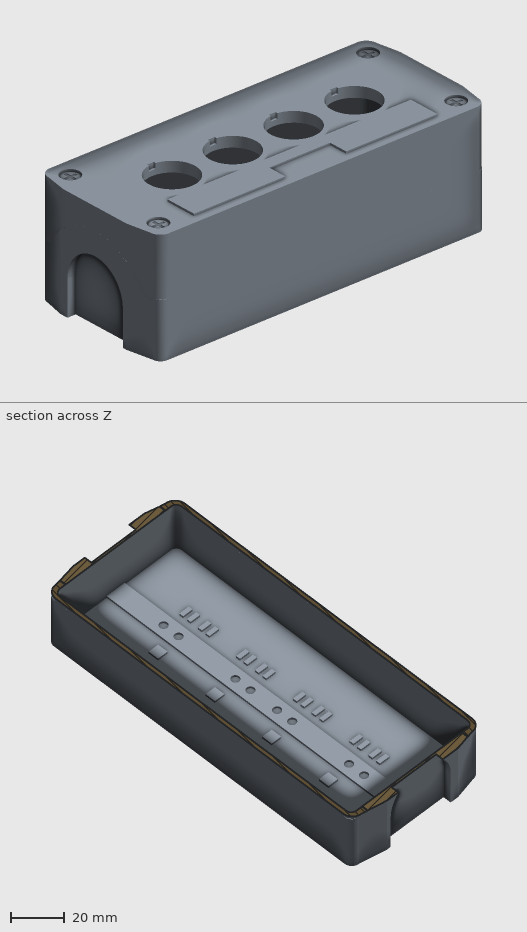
import cadquery as cq
import math


LENGTH = 166.0
WIDTH = 67.9
COVER_TOP = 53.5
SPLIT_HEIGHT = 26.0
HALF_LENGTH = LENGTH / 2
HALF_WIDTH = WIDTH / 2

COVER_CORNER_RADIUS = 5.0
COVER_SHOULDER_Y = 81.0
COVER_FLAT_X = 18.0
COVER_FLAT_BLEND = 12.5
BASE_SHOULDER_Y = 80.7
BASE_LEFT_RADIUS = 4.3
BASE_RIGHT_RADIUS = 3.8
BASE_LEFT_FLAT_X = 19.8
BASE_RIGHT_FLAT_X = 17.8

WALL = 2.0
CAVITY_HALF_WIDTH = HALF_WIDTH - WALL
CAVITY_HALF_LENGTH = 78.4
CAVITY_CORNER_RADIUS = 2.8
FLOOR_TOP = 3.0
COVER_PLATE = 5.0
CAVITY_TOP = COVER_TOP - COVER_PLATE

ARCH_RADIUS = 30.0
ARCH_TOP = 43.0
ARCH_FOOT_RADIUS = 2.5
POCKET_HALF_WIDTH = 15.8
POCKET_TOP = 32.4
POCKET_DEPTH = 3.5
CHANNEL_DEPTH = 0.5

HOLE_COUNT = 4
HOLE_PITCH = 30.0
HOLE_RADIUS = 11.3
KEY_WIDTH = 3.3
KEY_REACH = 12.3
KEY_DEPTH = COVER_PLATE / 2
HOLE_YS = [(i - (HOLE_COUNT - 1) / 2) * HOLE_PITCH for i in range(HOLE_COUNT)]

RIB_HEIGHT = 1.0
RIB_TOP = FLOOR_TOP + RIB_HEIGHT
RAIL_WIDTH = 9.5
RAIL_HOLE_DIAMETER = 3.8
RAIL_HOLE_OFFSET = 8.0
STOP_X = 8.3
STOP_LENGTH = 5.0
STOP_WIDTH = 5.0
TOOTH_WIDTH = 2.0
TOOTH_OFFSETS = (-7.0, -3.0, 3.0, 7.0)

SCREW_X = 25.0
SCREW_Y = 73.5
SCREW_RECESS_RADIUS = 4.5
SCREW_RECESS_DEPTH = 1.2
SCREW_HEAD_RADIUS = 3.7
SCREW_HEAD_HEIGHT = 0.3
CROSS_LENGTH = 6.0
CROSS_WIDTH = 1.5
CROSS_DEPTH = 0.3

LABEL_THICKNESS = 1.0
LEGEND_LEFT = 14.8
LEGEND_RIGHT = 29.9
LEGEND_NOTCH_X = 20.8
LEGEND_HALF_LENGTH = 60.1
LEGEND_NOTCH_HALF_LENGTH = HOLE_PITCH / 2
LABEL_LENGTH = 27.5
LABEL_WIDTH = 5.6


def box(x0, x1, y0, y1, z0, z1):
    """Axis-aligned block between two opposite corners."""
    return cq.Workplane("XY").box(x1 - x0, y1 - y0, z1 - z0, centered=False).translate((x0, y0, z0))


def shell_outline(shoulder_y, left_radius, right_radius, left_flat, right_flat):
    """Closed outline in XY with the same shape at both ends."""
    right_shoulder = HALF_WIDTH - right_radius
    left_shoulder = HALF_WIDTH - left_radius
    return (
        cq.Workplane("XY")
        .moveTo(-left_flat, -HALF_LENGTH)
        .lineTo(right_flat, -HALF_LENGTH)
        .lineTo(right_shoulder, -shoulder_y)
        .radiusArc((HALF_WIDTH, right_radius - shoulder_y), -right_radius)
        .lineTo(HALF_WIDTH, shoulder_y - right_radius)
        .radiusArc((right_shoulder, shoulder_y), -right_radius)
        .lineTo(right_flat, HALF_LENGTH)
        .lineTo(-left_flat, HALF_LENGTH)
        .lineTo(-left_shoulder, shoulder_y)
        .radiusArc((-HALF_WIDTH, shoulder_y - left_radius), -left_radius)
        .lineTo(-HALF_WIDTH, left_radius - shoulder_y)
        .radiusArc((-left_shoulder, -shoulder_y), -left_radius)
        .close()
    )


def below_split():
    """Everything under the joint: level at the sides, rising to an arch in the middle."""
    centre_z = ARCH_TOP - ARCH_RADIUS
    fillet_z = SPLIT_HEIGHT + ARCH_FOOT_RADIUS
    reach = ARCH_RADIUS + ARCH_FOOT_RADIUS
    foot_x = math.sqrt(reach**2 - (fillet_z - centre_z) ** 2)
    tangent_x = foot_x * ARCH_RADIUS / reach
    tangent_z = centre_z + (fillet_z - centre_z) * ARCH_RADIUS / reach
    return (
        cq.Workplane("XZ")
        .moveTo(-HALF_WIDTH, 0)
        .lineTo(HALF_WIDTH, 0)
        .lineTo(HALF_WIDTH, SPLIT_HEIGHT)
        .lineTo(foot_x, SPLIT_HEIGHT)
        .radiusArc((tangent_x, tangent_z), ARCH_FOOT_RADIUS)
        .threePointArc((0, ARCH_TOP), (-tangent_x, tangent_z))
        .radiusArc((-foot_x, SPLIT_HEIGHT), ARCH_FOOT_RADIUS)
        .lineTo(-HALF_WIDTH, SPLIT_HEIGHT)
        .close()
        .extrude(HALF_LENGTH, both=True)
    )


def cavity():
    """Inside space shared by base and cover."""
    return (
        cq.Workplane("XY", origin=(0, 0, FLOOR_TOP))
        .rect(2 * CAVITY_HALF_WIDTH, 2 * CAVITY_HALF_LENGTH)
        .extrude(CAVITY_TOP - FLOOR_TOP)
        .edges("|Z")
        .fillet(CAVITY_CORNER_RADIUS)
    )


def end_pockets():
    """Round-topped pocket in the outer face of each end."""
    spring_z = POCKET_TOP - POCKET_HALF_WIDTH
    arch = (
        cq.Workplane("XZ")
        .moveTo(-POCKET_HALF_WIDTH, 0)
        .lineTo(POCKET_HALF_WIDTH, 0)
        .lineTo(POCKET_HALF_WIDTH, spring_z)
        .threePointArc((0, POCKET_TOP), (-POCKET_HALF_WIDTH, spring_z))
        .close()
        .extrude(HALF_LENGTH, both=True)
    )
    back = HALF_LENGTH - POCKET_DEPTH
    return arch.cut(box(-HALF_WIDTH, HALF_WIDTH, -back, back, 0, COVER_TOP))


def floor_rail():
    """Lengthwise rail with two round holes below each button; the second hole alternates sides."""
    rail = box(
        -RAIL_WIDTH / 2, RAIL_WIDTH / 2, -CAVITY_HALF_LENGTH, CAVITY_HALF_LENGTH, FLOOR_TOP, RIB_TOP
    )
    for index, y in enumerate(HOLE_YS):
        side = 1 if index % 2 else -1
        holes = (
            cq.Workplane("XY", origin=(0, y, FLOOR_TOP))
            .pushPoints([(0, 0), (0, side * RAIL_HOLE_OFFSET)])
            .circle(RAIL_HOLE_DIAMETER / 2)
            .extrude(RIB_HEIGHT)
        )
        rail = rail.cut(holes)
    return rail


def floor_blocks(y):
    """Teeth on the left and a stop block on the right below the button at y."""
    far_x = STOP_X + STOP_LENGTH
    blocks = [box(STOP_X, far_x, y - STOP_WIDTH / 2, y + STOP_WIDTH / 2, FLOOR_TOP, RIB_TOP)]
    for offset in TOOTH_OFFSETS:
        front = y + offset - TOOTH_WIDTH / 2
        blocks.append(box(-far_x, -STOP_X, front, front + TOOTH_WIDTH, FLOOR_TOP, RIB_TOP))
    return blocks


def make_base():
    outline = shell_outline(
        BASE_SHOULDER_Y, BASE_LEFT_RADIUS, BASE_RIGHT_RADIUS, BASE_LEFT_FLAT_X, BASE_RIGHT_FLAT_X
    )
    body = outline.extrude(COVER_TOP).intersect(below_split()).cut(cavity())
    body = body.cut(end_pockets())
    channel = box(
        -POCKET_HALF_WIDTH, POCKET_HALF_WIDTH, -HALF_LENGTH, HALF_LENGTH, 0, CHANNEL_DEPTH
    )
    body = body.cut(channel).union(floor_rail())
    for y in HOLE_YS:
        for block in floor_blocks(y):
            body = body.union(block)
    return body


def button_hole(y):
    """Round hole through the cover plate with a key slot towards -X, open at the top."""
    hole = cq.Workplane("XY", origin=(0, y, CAVITY_TOP)).circle(HOLE_RADIUS).extrude(COVER_PLATE)
    key = box(-KEY_REACH, 0, y - KEY_WIDTH / 2, y + KEY_WIDTH / 2, COVER_TOP - KEY_DEPTH, COVER_TOP)
    return hole.union(key)


def screw_recess(x, y):
    """Round recess around a raised screw head that carries a cross slot."""
    bottom = COVER_TOP - SCREW_RECESS_DEPTH
    head_top = bottom + SCREW_HEAD_HEIGHT
    recess = cq.Workplane("XY", origin=(x, y, bottom)).circle(SCREW_RECESS_RADIUS).extrude(SCREW_RECESS_DEPTH)
    head = cq.Workplane("XY", origin=(x, y, bottom)).circle(SCREW_HEAD_RADIUS).extrude(SCREW_HEAD_HEIGHT)
    slots = cq.Workplane("XY", origin=(x, y, head_top - CROSS_DEPTH))
    cross = slots.rect(CROSS_LENGTH, CROSS_WIDTH).extrude(CROSS_DEPTH)
    cross = cross.union(slots.rect(CROSS_WIDTH, CROSS_LENGTH).extrude(CROSS_DEPTH))
    return recess.cut(head).union(cross)


def make_label():
    """Rectangular label lying in the cover, flush with its top."""
    return (
        cq.Workplane("XY", origin=(0, -SCREW_Y, COVER_TOP - LABEL_THICKNESS))
        .rect(LABEL_LENGTH, LABEL_WIDTH)
        .extrude(LABEL_THICKNESS)
    )


def make_cover():
    outline = shell_outline(
        COVER_SHOULDER_Y, COVER_CORNER_RADIUS, COVER_CORNER_RADIUS, COVER_FLAT_X, COVER_FLAT_X
    )
    body = outline.extrude(COVER_TOP)
    body = body.edges("|Z").edges("<Y or >Y").fillet(COVER_FLAT_BLEND)
    body = body.cut(below_split()).cut(cavity())
    for y in HOLE_YS:
        body = body.cut(button_hole(y))
    for x in (-SCREW_X, SCREW_X):
        for y in (-SCREW_Y, SCREW_Y):
            body = body.cut(screw_recess(x, y))
    return body.cut(make_label())


def make_legend_plate():
    """Thin plate on top of the cover with a notch in the middle of its right edge."""
    plate = box(
        LEGEND_LEFT, LEGEND_RIGHT, -LEGEND_HALF_LENGTH, LEGEND_HALF_LENGTH,
        COVER_TOP, COVER_TOP + LABEL_THICKNESS,
    )
    notch = box(
        LEGEND_NOTCH_X, LEGEND_RIGHT, -LEGEND_NOTCH_HALF_LENGTH, LEGEND_NOTCH_HALF_LENGTH,
        COVER_TOP, COVER_TOP + LABEL_THICKNESS,
    )
    return plate.cut(notch)


base = make_base()
cover = make_cover()
legend_plate = make_legend_plate()
label = make_label()

result = cq.Compound.makeCompound([base.val(), cover.val(), legend_plate.val(), label.val()])